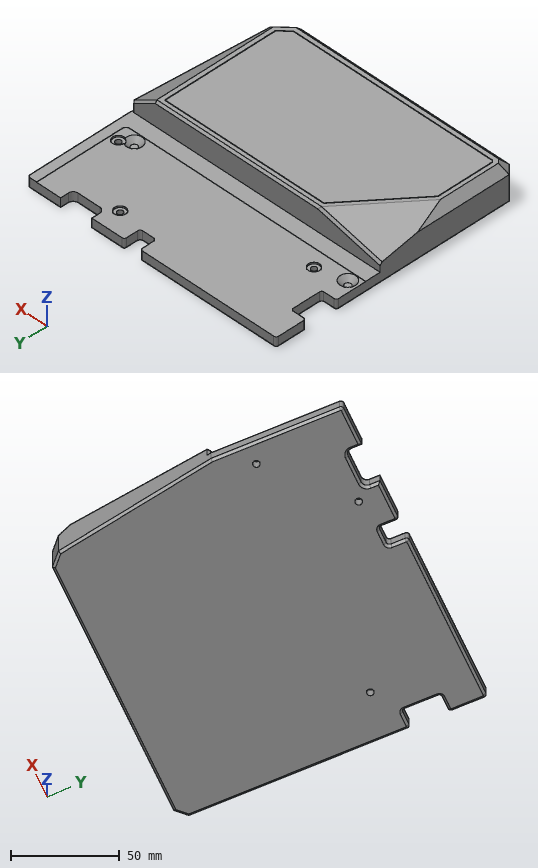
import cadquery as cq

length = 162.9
width = 155.4
height = 22.2
plate_height = 7.2
bottom_chamfer = 1.3

block_depth = 88.5
front_left_corner = 5.2
front_right_x = 141.9
slant_start_x = 148.2
slant_start_y = 5.9
slant_end_y = 89.3
top_bevel = 5.0
back_chamfer = 1.3

slope_top_x = 147.5
slope_edge_z = 13.0

facet_front_y = 38.5
facet_back_x = 40.7
facet_low_z = 12.4

panel_margin = 2.6
panel_depth = 0.3
recess_right_x = 157.0
recess_front_y = 97.7
recess_radius = 2.5
recess_depth = 0.2

back_corner_radius = 1.6
narrow_notch_left = 89.1
narrow_notch_right = 99.5
narrow_notch_depth = 10.3
narrow_notch_radius = 1.6
wide_notch_left = 120.9
wide_notch_right = 141.2
wide_notch_depth = 8.1
wide_notch_radius = 3.0
side_notch_front = 116.6
side_notch_back = 136.3
side_notch_depth = 9.6
side_notch_radius = 1.3
notch_lip_radius = 1.5

screw_points = [(24.1, 107.3), (115.5, 142.4), (152.3, 107.3)]
screw_diameter = 3.5
screw_head_diameter = 7.0
screw_head_depth = 1.0
socket_points = [(6.4, 103.0), (146.3, 103.0)]
socket_diameter = 10.0
socket_floor_diameter = 3.9
socket_depth = (socket_diameter - socket_floor_diameter) / 2

BIG = 2 * length
CLEAR = 1.6

front_outline = [
    (0, front_left_corner),
    (front_left_corner, 0),
    (front_right_x, 0),
    (slant_start_x, slant_start_y),
]


def box(x_range, y_range, z_range):
    """Box spanning the given (low, high) ranges."""
    sizes = [high - low for low, high in (x_range, y_range, z_range)]
    corner = (x_range[0], y_range[0], z_range[0])
    return cq.Workplane("XY").box(*sizes, centered=False).translate(corner)


def round_upright_edges(body, points, radius):
    """Fillet the vertical edges standing at the given plan points."""
    for x, y in points:
        near = cq.selectors.NearestToPointSelector((x, y, plate_height / 2))
        body = body.edges("|Z").edges(near).fillet(radius)
    return body


def make_plate():
    """Flat base with notched edges and a chamfered underside."""
    outline = front_outline + [(length, slant_end_y), (length, width), (0, width)]
    plate = cq.Workplane("XY").polyline(outline).close().extrude(plate_height)

    narrow_floor = width - narrow_notch_depth
    wide_floor = width - wide_notch_depth
    tall = (-CLEAR, plate_height + CLEAR)
    plate = plate.cut(box((narrow_notch_left, narrow_notch_right), (narrow_floor, BIG), tall))
    plate = plate.cut(box((wide_notch_left, wide_notch_right), (wide_floor, BIG), tall))
    plate = plate.cut(box((-CLEAR, side_notch_depth), (side_notch_front, side_notch_back), tall))

    narrow_corners = [(narrow_notch_left, narrow_floor), (narrow_notch_right, narrow_floor)]
    wide_corners = [(wide_notch_left, wide_floor), (wide_notch_right, wide_floor)]
    side_corners = [(side_notch_depth, side_notch_front), (side_notch_depth, side_notch_back)]
    lips = [
        (0, side_notch_front),
        (0, side_notch_back),
        (narrow_notch_left, width),
        (narrow_notch_right, width),
    ]
    plate = round_upright_edges(plate, narrow_corners, narrow_notch_radius)
    plate = round_upright_edges(plate, wide_corners, wide_notch_radius)
    plate = round_upright_edges(plate, side_corners, side_notch_radius)
    plate = round_upright_edges(plate, lips, notch_lip_radius)
    plate = round_upright_edges(plate, [(0, width), (length, width)], back_corner_radius)
    return plate.faces("<Z").edges().chamfer(bottom_chamfer)


def make_block():
    """Raised block: bevelled front and left edges, right slope, corner facet."""
    slant = (length - slant_start_x) / (slant_end_y - slant_start_y)
    back_right_x = slant_start_x + slant * (block_depth - slant_start_y)
    outline = front_outline + [(back_right_x, block_depth), (0, block_depth)]
    block = (
        cq.Workplane("XY").workplane(offset=plate_height)
        .polyline(outline).close().extrude(height - plate_height)
    )
    corners = [(0, block_depth)] + front_outline
    midpoints = [
        ((x0 + x1) / 2, (y0 + y1) / 2, height)
        for (x0, y0), (x1, y1) in zip(corners, corners[1:])
    ]
    bevel_edges = block.newObject([])
    for point in midpoints:
        bevel_edges = bevel_edges.add(block.edges(cq.selectors.NearestToPointSelector(point)))
    block = bevel_edges.chamfer(top_bevel)

    block = block.cut(make_slope_tool()).cut(make_facet_tool())

    return block.faces(">Y").edges("not(<Z or <X)").chamfer(back_chamfer)


def make_slope_tool():
    """Prism above the right-hand slope, carried past the right side."""
    rise = height - slope_edge_z
    run = length - slope_top_x
    outer_x = length + run
    wedge = [
        (slope_top_x, height),
        (outer_x, slope_edge_z - rise),
        (outer_x, height + CLEAR),
        (slope_top_x, height + CLEAR),
    ]
    return cq.Workplane("XZ").polyline(wedge).close().extrude(-BIG)


def make_facet_tool():
    """Slab whose underside is the plane of the sloping corner facet."""
    front_point = cq.Vector(0, facet_front_y, height)
    back_point = cq.Vector(facet_back_x, block_depth, height)
    low_point = cq.Vector(0, block_depth, facet_low_z)
    top_line = back_point - front_point
    normal = top_line.cross(low_point - front_point)
    plane = cq.Plane(origin=low_point, xDir=top_line, normal=normal)
    return cq.Workplane(plane).rect(BIG, BIG).extrude(height)


def sink_top_panel(body):
    """Shallow panel set inside the border of the top face."""
    border = body.faces(">Z").wires().val()
    inset = border.offset2D(-panel_margin, "intersection")[0]
    panel = cq.Solid.extrudeLinear(inset, [], cq.Vector(0, 0, -panel_depth))
    return body.cut(cq.Workplane(obj=panel))


def sink_plate_recess(body):
    """Shallow recess in the plate, open to the left and back."""
    levels = (plate_height - recess_depth, plate_height + CLEAR)
    recess = box((-CLEAR, recess_right_x), (recess_front_y, BIG), levels)
    recess = recess.edges("|Z and >X and <Y").fillet(recess_radius)
    return body.cut(recess)


def drill_holes(body):
    """Counterbored screw holes and blind conical sockets."""
    floor = plate_height - recess_depth
    surface = cq.Workplane("XY").workplane(offset=floor)
    through = surface.pushPoints(screw_points).circle(screw_diameter / 2).extrude(-BIG)
    heads = surface.pushPoints(screw_points).circle(screw_head_diameter / 2).extrude(-screw_head_depth)
    body = body.cut(through).cut(heads)
    for x, y in socket_points:
        cone = cq.Solid.makeCone(
            socket_diameter / 2,
            socket_floor_diameter / 2,
            socket_depth,
            pnt=cq.Vector(x, y, floor),
            dir=cq.Vector(0, 0, -1),
        )
        body = body.cut(cq.Workplane(obj=cone))
    return body


result = make_plate().union(make_block())
result = sink_top_panel(result)
result = sink_plate_recess(result)
result = drill_holes(result)